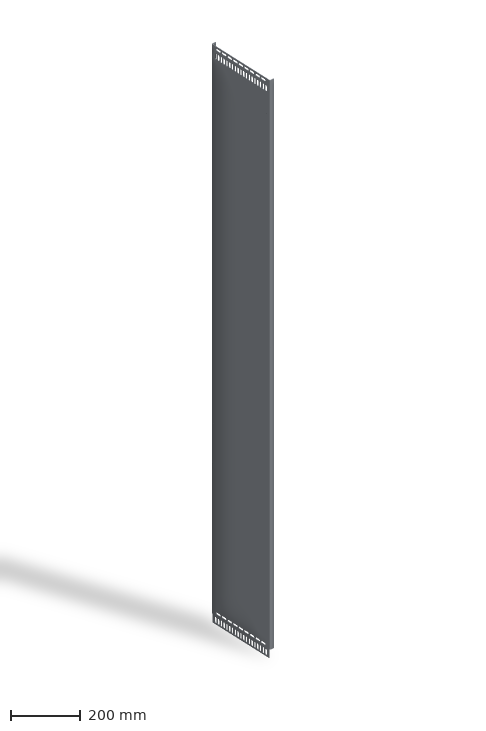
import cadquery as cq

width = 250.0
depth = 15.0
length = 2000.0

sheet = 1.5
bend_radius = 3.0
tongue_length = 30.0

slot_width = 7.0
cross_slot_length = 19.2
cross_slot_pitch = 25.0
cross_slot_count = 9
long_slot_length = 20.0
long_slot_pitch = cross_slot_pitch / 2
long_slot_count = 2 * cross_slot_count + 1
end_inset = 10.0
row_gap = 15.0

top_z = length / 2
bottom_z = -length / 2
front_y = -depth / 2


def channel_prism(outer_width, front, corner_radius):
    """Full-length block from `front` to the open back, its two front corners rounded."""
    block = cq.Workplane("XY").box(outer_width, depth / 2 - front, length)
    block = block.edges("|Z and <Y").fillet(corner_radius)
    return block.translate((0, (depth / 2 + front) / 2, 0))


def bent_channel():
    outside = channel_prism(width, front_y, bend_radius)
    inside = channel_prism(width - 2 * sheet, front_y + sheet, bend_radius - sheet)
    return outside.cut(inside)


def corner_relief(side):
    """Block that removes a flange and its bend beside the tongue."""
    relief = cq.Workplane("XY").box(bend_radius, depth, tongue_length)
    return relief.translate((side * (width - bend_radius) / 2, 0, bottom_z + tongue_length / 2))


def slot_row(count, pitch, slot_length, angle, centre_z):
    """Cutter for one row of round-ended slots, centred across the web."""
    return (
        cq.Workplane("XZ")
        .center(0, centre_z)
        .rarray(pitch, 20, count, 1)
        .slot2D(slot_length, slot_width, angle)
        .extrude(depth)
    )


def perforate(body, cross_row_z):
    """Cut a row of cross slots and the row of long slots below it."""
    long_row_z = cross_row_z - row_gap - long_slot_length / 2
    body = body.cut(slot_row(cross_slot_count, cross_slot_pitch, cross_slot_length, 0, cross_row_z))
    return body.cut(slot_row(long_slot_count, long_slot_pitch, long_slot_length, 90, long_row_z))


result = bent_channel()

for side in (-1, 1):
    result = result.cut(corner_relief(side))

lower_row_z = bottom_z + tongue_length + end_inset
for cross_row_z in (top_z - end_inset, lower_row_z):
    result = perforate(result, cross_row_z)